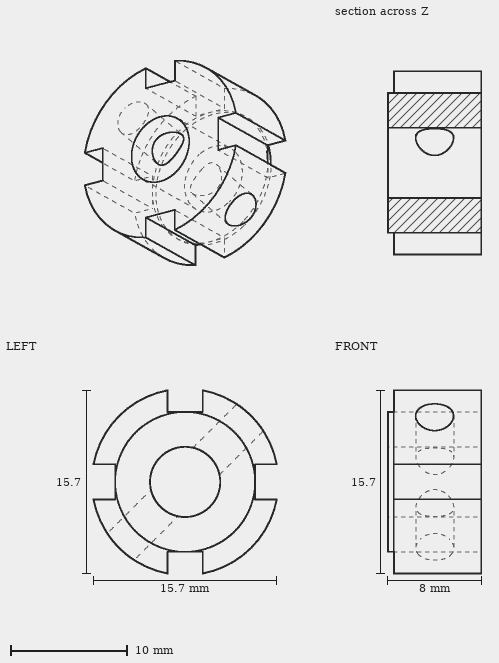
import cadquery as cq

total_length = 8.0
collar_length = 0.5
body_diameter = 16.0
collar_diameter = 12.0
bore_diameter = 6.0

slot_count = 4
slot_width = 3.0
slot_floor = collar_diameter / 2

cross_hole_diameter = 3.24
cross_hole_angle = 180.0 / slot_count
cross_hole_x = total_length / 2

body_length = total_length - collar_length


def cylinder_along_x(diameter, start, length):
    return cq.Workplane("YZ", origin=(start, 0, 0)).circle(diameter / 2).extrude(length)


def make_blank():
    collar = cylinder_along_x(collar_diameter, 0, total_length)
    body = cylinder_along_x(body_diameter, collar_length, body_length)
    return collar.union(body)


def slot_cutter(angle):
    """Box reaching outward from the slot floor, turned about X."""
    cutter = cq.Workplane("XY").box(
        total_length, slot_width, body_diameter / 2, centered=(False, True, False)
    )
    return cutter.translate((0, 0, slot_floor)).rotate((0, 0, 0), (1, 0, 0), angle)


def cross_hole_cutter():
    """Cylinder across the whole part, leaning from +Z toward -Y."""
    cutter = cq.Workplane("XY").circle(cross_hole_diameter / 2).extrude(body_diameter, both=True)
    return cutter.translate((cross_hole_x, 0, 0)).rotate((0, 0, 0), (1, 0, 0), cross_hole_angle)


result = make_blank()
for slot_index in range(slot_count):
    result = result.cut(slot_cutter(slot_index * 360.0 / slot_count))
result = result.cut(cylinder_along_x(bore_diameter, 0, total_length))
result = result.cut(cross_hole_cutter())